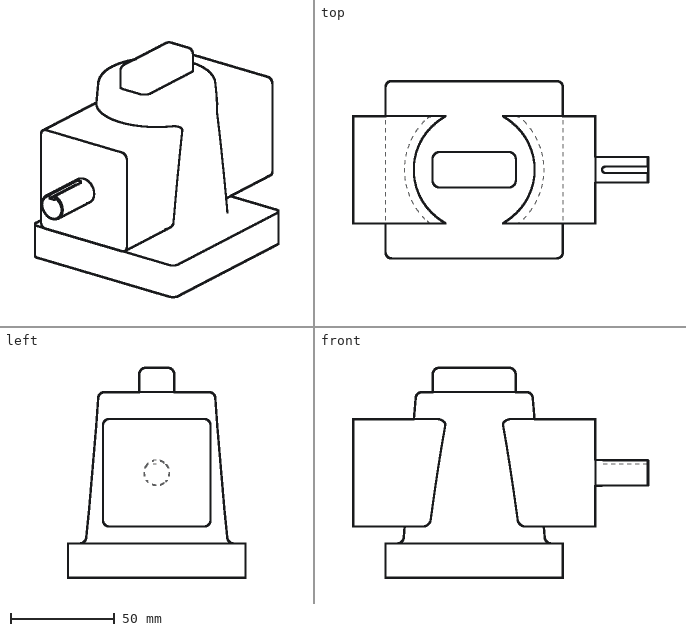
import cadquery as cq

base_side = 85.8
base_height = 16.7
base_corner_radius = 3.0

body_top_z = 89.8
body_bottom_radius = 34.4
body_top_radius = 28.1
body_edge_radius = 3.0

arm_length = 117.0
arm_side = 52.0
arm_center_z = 50.8
arm_edge_radius = 3.0

shaft_diameter = 12.5
shaft_end_x = 84.2
shaft_end_chamfer = 0.4
key_width = 3.0
key_depth = 2.0
key_start_x = 61.8

boss_length = 40.3
boss_width = 17.1
boss_top_z = 101.6
boss_edge_radius = 3.4


def make_pedestal():
    """Base plate and tapered body, blended together with a fillet."""
    plate = (
        cq.Workplane("XY")
        .rect(base_side, base_side)
        .extrude(base_height)
        .edges("|Z")
        .fillet(base_corner_radius)
    )
    body = (
        cq.Workplane("XZ")
        .moveTo(0, base_height)
        .lineTo(body_bottom_radius, base_height)
        .lineTo(body_top_radius, body_top_z)
        .lineTo(0, body_top_z)
        .close()
        .revolve(360, (0, 0, 0), (0, 1, 0))
        .edges(">Z")
        .fillet(body_edge_radius)
    )
    foot_circle = cq.selectors.RadiusNthSelector(-1)
    return plate.union(body).edges("%CIRCLE").edges(foot_circle).fillet(body_edge_radius)


def make_arm():
    """Square bar with its four long edges rounded."""
    return (
        cq.Workplane("XY")
        .box(arm_length, arm_side, arm_side)
        .edges("|X")
        .fillet(arm_edge_radius)
        .translate((0, 0, arm_center_z))
    )


def make_shaft():
    """Round shaft, chamfered at its free end, with a keyway along its top, open at that end."""
    arm_end_x = arm_length / 2
    shaft = (
        cq.Workplane("YZ", origin=(arm_end_x, 0, arm_center_z))
        .circle(shaft_diameter / 2)
        .extrude(shaft_end_x - arm_end_x)
        .faces(">X")
        .chamfer(shaft_end_chamfer)
    )
    shaft_top_z = arm_center_z + shaft_diameter / 2
    slot_center_x = key_start_x + key_width / 2
    round_end = cq.Workplane("XY").circle(key_width / 2).extrude(key_depth)
    straight = cq.Workplane("XY").box(
        shaft_end_x - slot_center_x, key_width, key_depth, centered=(False, True, False)
    )
    keyway = round_end.union(straight).translate((slot_center_x, 0, shaft_top_z - key_depth))
    return shaft.cut(keyway)


def make_boss():
    """Rectangular boss with rounded corners and a rounded top rim."""
    return (
        cq.Workplane("XY", origin=(0, 0, body_top_z))
        .rect(boss_length, boss_width)
        .extrude(boss_top_z - body_top_z)
        .edges("|Z or >Z")
        .fillet(boss_edge_radius)
    )


result = make_pedestal().union(make_arm()).union(make_shaft()).union(make_boss())